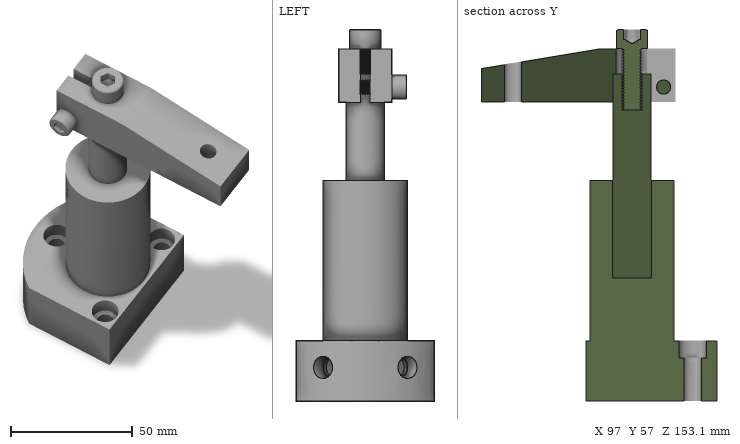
import cadquery as cq
import math


flange_radius = 35.0
flange_width = 57.0
flange_flat_x = 19.0
flange_height = 25.0
barrel_diameter = 35.0
housing_height = 91.0

bolt_circle_radius = 25.0
bolt_angles = (60.0, 180.0, 300.0)
bolt_hole_diameter = 7.0
counterbore_diameter = 11.0
counterbore_depth = 7.0

port_angles = (150.0, 210.0)
port_height = 14.0
port_mouth_diameter = 9.0
port_mouth_depth = 7.8
port_drill_diameter = 8.5
port_drill_depth = 10.3
drill_point_angle = 118.0

arm_length = 80.0
arm_width = 22.0
arm_height = 22.0
arm_tip_height = 14.0
arm_back_x = -18.0
arm_level_length = 32.0
arm_bottom_z = 123.1
arm_top_z = arm_bottom_z + arm_height
tip_hole_diameter = 6.8
tip_hole_from_end = 13.0
clamp_slot_width = 4.0
upper_bore_diameter = 13.0

rod_diameter = 16.0
rod_top_below_arm_top = 10.3
rod_top_z = arm_top_z - rod_top_below_arm_top
rod_insertion = 40.0
rod_bottom_z = housing_height - rod_insertion

retaining_screw_size = dict(
    thread_diameter=8.0, pitch=1.25, length=25.0,
    head_diameter=13.0, head_height=8.0, head_fillet=0.8,
    socket_width=6.0, socket_depth=4.0,
)
clamp_screw_size = dict(
    thread_diameter=6.0, pitch=1.0, length=20.0,
    head_diameter=10.0, head_height=6.0, head_fillet=0.6,
    socket_width=5.0, socket_depth=3.0,
)
hexagon_sides = 6
thread_depth_per_pitch = 0.54
crest_share = 1 / 8
flank_share = 5 / 16
clamp_screw_height = 6.3
clamp_screw_x = arm_back_x + clamp_screw_size["head_diameter"] / 2
clamp_screw_z = arm_bottom_z + clamp_screw_height

retaining_screw_seat = cq.Plane(origin=(0, 0, arm_top_z), xDir=(1, 0, 0), normal=(0, 0, 1))
clamp_screw_seat = cq.Plane(
    origin=(clamp_screw_x, -arm_width / 2, clamp_screw_z), xDir=(0, 0, 1), normal=(0, -1, 0)
)


def drill_point_height(diameter):
    """Height of the cone that a twist drill leaves at the bottom of a hole."""
    return diameter / 2 / math.tan(math.radians(drill_point_angle / 2))


def drilled_hole(plane, diameter, depth):
    """Cutter for a blind hole from the plane's origin along its -Y direction, ending in a drill point."""
    radius = diameter / 2
    profile = [
        (0, 0),
        (radius, 0),
        (radius, -depth),
        (0, -depth - drill_point_height(diameter)),
    ]
    return cq.Workplane(plane).polyline(profile).close().revolve(360, (0, 0), (0, 1))


def screw_hole(seat, size):
    """Cutter for the space that the shank of a screw fills."""
    return cq.Workplane(seat).circle(size["thread_diameter"] / 2).extrude(-size["length"])


def make_housing():
    corner_y = flange_width / 2
    corner_x = -math.sqrt(flange_radius**2 - corner_y**2)
    housing = (
        cq.Workplane("XY")
        .moveTo(flange_flat_x, -corner_y)
        .lineTo(flange_flat_x, corner_y)
        .lineTo(corner_x, corner_y)
        .threePointArc((-flange_radius, 0), (corner_x, -corner_y))
        .close()
        .extrude(flange_height)
    )
    barrel = cq.Workplane("XY").circle(barrel_diameter / 2).extrude(housing_height)
    housing = housing.union(barrel)

    bolt_points = []
    for angle in bolt_angles:
        turn = math.radians(angle)
        bolt_points.append((bolt_circle_radius * math.cos(turn), bolt_circle_radius * math.sin(turn)))
    bolt_holes = (
        cq.Workplane("XY").pushPoints(bolt_points).circle(bolt_hole_diameter / 2).extrude(flange_height)
    )
    counterbores = (
        cq.Workplane("XY", origin=(0, 0, flange_height))
        .pushPoints(bolt_points)
        .circle(counterbore_diameter / 2)
        .extrude(-counterbore_depth)
    )
    housing = housing.cut(bolt_holes).cut(counterbores)

    for angle in port_angles:
        turn = math.radians(angle)
        outward = (math.cos(turn), math.sin(turn), 0)
        mouth_center = (flange_radius * outward[0], flange_radius * outward[1], port_height)
        sideways = (-outward[1], outward[0], 0)
        port_plane = cq.Plane(origin=mouth_center, xDir=(0, 0, 1), normal=sideways)
        port_drilling = drilled_hole(port_plane, port_drill_diameter, port_drill_depth)
        port_mouth = (
            cq.Workplane(cq.Plane(origin=mouth_center, xDir=(0, 0, 1), normal=outward))
            .workplane(offset=-port_mouth_depth)
            .circle(port_mouth_diameter / 2)
            .extrude(port_mouth_depth + port_mouth_diameter)
        )
        housing = housing.cut(port_mouth).cut(port_drilling)

    rod_bore = cq.Workplane("XY", origin=(0, 0, rod_bottom_z)).circle(rod_diameter / 2).extrude(rod_insertion)
    return housing.cut(rod_bore)


def make_rod():
    rod = (
        cq.Workplane("XY", origin=(0, 0, rod_bottom_z))
        .circle(rod_diameter / 2)
        .extrude(rod_top_z - rod_bottom_z)
    )
    return rod.cut(screw_hole(retaining_screw_seat, retaining_screw_size))


def make_arm():
    arm_front_x = arm_back_x + arm_length
    side_outline = [
        (arm_back_x, arm_bottom_z),
        (arm_front_x, arm_bottom_z),
        (arm_front_x, arm_bottom_z + arm_tip_height),
        (arm_back_x + arm_level_length, arm_top_z),
        (arm_back_x, arm_top_z),
    ]
    arm = cq.Workplane("XZ").polyline(side_outline).close().extrude(arm_width / 2, both=True)

    rod_bore = (
        cq.Workplane("XY", origin=(0, 0, arm_bottom_z))
        .circle(rod_diameter / 2)
        .extrude(rod_top_z - arm_bottom_z)
    )
    upper_bore = (
        cq.Workplane("XY", origin=(0, 0, rod_top_z))
        .circle(upper_bore_diameter / 2)
        .extrude(rod_top_below_arm_top)
    )
    clamp_slot = cq.Workplane("XY", origin=(arm_back_x, 0, arm_bottom_z)).box(
        -arm_back_x, clamp_slot_width, arm_height, centered=(False, True, False)
    )
    tip_hole = (
        cq.Workplane("XY", origin=(arm_front_x - tip_hole_from_end, 0, arm_bottom_z))
        .circle(tip_hole_diameter / 2)
        .extrude(arm_height)
    )
    return (
        arm.cut(rod_bore)
        .cut(clamp_slot)
        .cut(tip_hole)
        .cut(upper_bore)
        .cut(screw_hole(clamp_screw_seat, clamp_screw_size))
    )


def make_socket_screw(seat, size):
    """Socket head screw with ring-shaped threads, its head standing on the seat plane."""
    crest_radius = size["thread_diameter"] / 2
    root_radius = crest_radius - thread_depth_per_pitch * size["pitch"]
    ring_count = round(size["length"] / size["pitch"])

    shank_profile = [(0, 0), (crest_radius, 0)]
    for ring in range(ring_count):
        ring_start = -ring * size["pitch"]
        for radius, share_of_pitch in (
            (crest_radius, crest_share),
            (root_radius, crest_share + flank_share),
            (root_radius, 1 - flank_share),
            (crest_radius, 1),
        ):
            shank_profile.append((radius, ring_start - share_of_pitch * size["pitch"]))
    shank_profile.append((0, -ring_count * size["pitch"]))
    shank = cq.Workplane("XZ").polyline(shank_profile).close().revolve(360, (0, 0), (0, 1))

    head = (
        cq.Workplane("XY")
        .circle(size["head_diameter"] / 2)
        .extrude(size["head_height"])
        .faces(">Z")
        .edges()
        .fillet(size["head_fillet"])
    )
    corner_diameter = size["socket_width"] / math.cos(math.pi / hexagon_sides)
    head_top = cq.Plane(origin=(0, 0, size["head_height"]), xDir=(1, 0, 0), normal=(0, -1, 0))
    socket = (
        cq.Workplane("XY", origin=(0, 0, size["head_height"]))
        .polygon(hexagon_sides, corner_diameter)
        .extrude(-size["socket_depth"])
    )
    socket_point = drilled_hole(head_top, size["socket_width"], size["socket_depth"])
    screw = head.union(shank).cut(socket).cut(socket_point)
    return cq.Workplane(obj=screw.val().moved(cq.Location(seat)))


housing = make_housing()
piston_rod = make_rod()
clamp_arm = make_arm()
retaining_screw = make_socket_screw(retaining_screw_seat, retaining_screw_size)
clamp_screw = make_socket_screw(clamp_screw_seat, clamp_screw_size)

result = cq.Compound.makeCompound([
    *housing.vals(),
    *piston_rod.vals(),
    *clamp_arm.vals(),
    *retaining_screw.vals(),
    *clamp_screw.vals(),
])